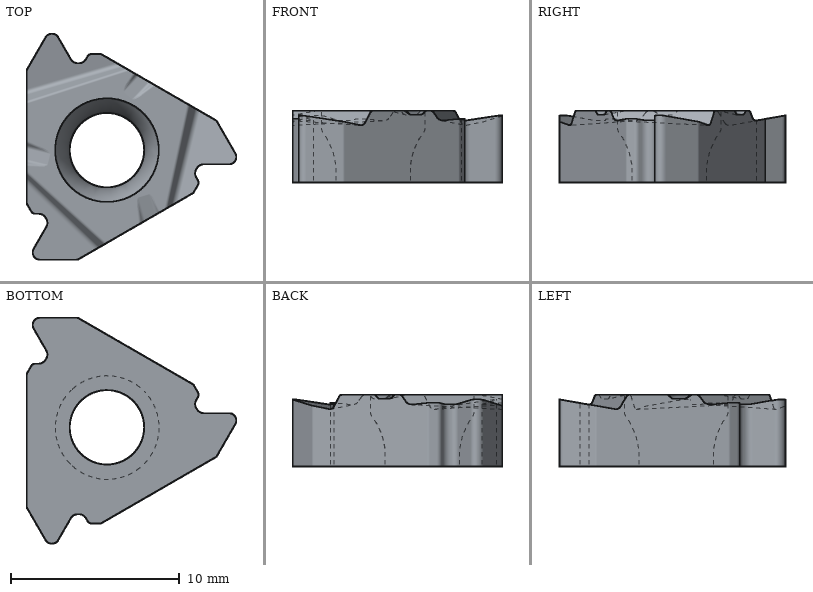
import cadquery as cq
import math

INSCRIBED_RADIUS = 9.525 / 2
THICKNESS = 4.27
CORNER_COUNT = 3
CORNER_STEP = 360 / CORNER_COUNT

FLANK_ANGLE = 60
LEADING_FLANK_DISTANCE = 6.5
TRAILING_FLANK_DISTANCE = 0.845
RELIEF_SIDE_DISTANCE = 3.78
TIP_HEIGHT = 6.905
RELIEF_HEIGHT = 5.16
CREST_HEIGHT = 5.71
TIP_RADIUS = 0.43
RELIEF_RADIUS = 0.46
CREST_RADIUS = 0.3
EDGE_RADIUS = 0.25

BORE_DIAMETER = 4.4
RECESS_DIAMETER = 6.15
RECESS_WALL_DEPTH = 1.0
SEAT_RADIUS = 3.8
SEAT_BLEND_RADIUS = 0.48

RAKE_ANGLE = 10
RAKE_HEIGHT_AT_AXIS = 2.78
CHIP_WALL_DIRECTION = 16.2
CHIP_WALL_DISTANCE = 4.59
CHIP_WALL_TO_RAKE_ANGLE = 110
CHIP_ROOT_RADIUS = 0.32
CHIP_TOP_RADIUS = 0.2

NOTCH_DIRECTION = -13.5
NOTCH_RISE_ANGLE = 10
NOTCH_FLOOR_WIDTH = 0.62
NOTCH_DEPTH = 0.24
NOTCH_CENTER_Y = -0.22
NOTCH_WALL_ANGLE = 45
NOTCH_ROOT_RADIUS = 0.25
NOTCH_TOP_RADIUS = 0.2

CUTTER_REACH = 10.0


def turned(point, corner):
    """Turn an XY point about the hole axis to the given corner."""
    angle = math.radians(corner * CORNER_STEP)
    x, y = point
    return (x * math.cos(angle) - y * math.sin(angle), x * math.sin(angle) + y * math.cos(angle))


def meeting_point(line_a, line_b):
    """Meeting point of two lines, each a normal angle and a distance from the hole axis."""
    angle_a, distance_a = line_a
    angle_b, distance_b = line_b
    a = math.radians(angle_a)
    b = math.radians(angle_b)
    spread = math.sin(b - a)
    x = (distance_a * math.sin(b) - distance_b * math.sin(a)) / spread
    y = (distance_b * math.cos(a) - distance_a * math.cos(b)) / spread
    return (x, y)


def corner_profile():
    """Sharp vertices of one corner, clockwise, each with its rounding radius."""
    leading = (90 + FLANK_ANGLE, LEADING_FLANK_DISTANCE)
    trailing = (90 - FLANK_ANGLE, TRAILING_FLANK_DISTANCE)
    relief_side = (90 + FLANK_ANGLE, RELIEF_SIDE_DISTANCE)
    tip = (90, TIP_HEIGHT)
    relief_floor = (90, RELIEF_HEIGHT)
    crest = (90, CREST_HEIGHT)
    side = (180, INSCRIBED_RADIUS)
    next_side = (180 - CORNER_STEP, INSCRIBED_RADIUS)
    return [
        (meeting_point(side, leading), EDGE_RADIUS),
        (meeting_point(leading, tip), TIP_RADIUS),
        (meeting_point(tip, trailing), TIP_RADIUS),
        (meeting_point(trailing, relief_floor), RELIEF_RADIUS),
        (meeting_point(relief_floor, relief_side), RELIEF_RADIUS),
        (meeting_point(relief_side, crest), CREST_RADIUS),
        (meeting_point(crest, next_side), EDGE_RADIUS),
    ]


def make_body():
    vertices = []
    for corner in range(CORNER_COUNT):
        for point, radius in corner_profile():
            vertices.append((turned(point, -corner), radius))
    body = cq.Workplane("XY").polyline([point for point, _ in vertices]).close().extrude(THICKNESS)
    for (x, y), radius in vertices:
        body = body.edges(cq.NearestToPointSelector((x, y, THICKNESS / 2))).fillet(radius)
    return body


def make_hole():
    """Bore, convex seat and cylindrical recess, turned about the Z axis."""
    bore = BORE_DIAMETER / 2
    recess = RECESS_DIAMETER / 2
    seat_center_r = bore + SEAT_RADIUS
    blend_center_r = recess - SEAT_BLEND_RADIUS
    center_spacing = SEAT_RADIUS + SEAT_BLEND_RADIUS
    blend_angle = math.acos((seat_center_r - blend_center_r) / center_spacing)
    blend_center_z = THICKNESS - RECESS_WALL_DEPTH
    seat_bottom = blend_center_z - center_spacing * math.sin(blend_angle)

    def on_seat(angle):
        r = seat_center_r - SEAT_RADIUS * math.cos(angle)
        return (r, seat_bottom + SEAT_RADIUS * math.sin(angle))

    blend_middle = (
        blend_center_r + SEAT_BLEND_RADIUS * math.cos(blend_angle / 2),
        blend_center_z - SEAT_BLEND_RADIUS * math.sin(blend_angle / 2),
    )
    return (
        cq.Workplane("XZ")
        .lineTo(bore, 0)
        .lineTo(bore, seat_bottom)
        .threePointArc(on_seat(blend_angle / 2), on_seat(blend_angle))
        .threePointArc(blend_middle, (recess, blend_center_z))
        .lineTo(recess, THICKNESS)
        .lineTo(0, THICKNESS)
        .close()
        .revolve(360, (0, 0), (0, 1))
    )


def chip_wall_point(distance):
    """XY point at a distance from the hole axis, square to the chip wall of the +Y corner."""
    direction = math.radians(CHIP_WALL_DIRECTION)
    return (-distance * math.sin(direction), distance * math.cos(direction))


def rake_height(point):
    return RAKE_HEIGHT_AT_AXIS + point[1] * math.tan(math.radians(RAKE_ANGLE))


def make_rake_cutter():
    """Cutter of the +Y corner: rake face as its floor, chip wall as its inner side."""
    direction = math.radians(CHIP_WALL_DIRECTION)
    rake = math.radians(RAKE_ANGLE)
    root_xy = chip_wall_point(CHIP_WALL_DISTANCE)
    root = (*root_xy, rake_height(root_xy))
    along = cq.Vector(math.cos(direction), math.sin(direction), math.sin(direction) * math.tan(rake))
    rake_normal = cq.Vector(0, -math.sin(rake), math.cos(rake))
    section = cq.Plane(root, rake_normal.cross(along), along)
    wall_lean = CUTTER_REACH / math.tan(math.radians(CHIP_WALL_TO_RAKE_ANGLE))
    return (
        cq.Workplane(section)
        .polyline([(0, 0), (CUTTER_REACH, 0), (CUTTER_REACH, CUTTER_REACH), (wall_lean, CUTTER_REACH)])
        .close()
        .extrude(CUTTER_REACH, both=True)
        .edges(cq.NearestToPointSelector(root))
        .fillet(CHIP_ROOT_RADIUS)
    )


def make_notch_cutter():
    """Cutter of the -X side: a round-rooted trapezoid whose floor rises towards the hole."""
    direction = math.radians(NOTCH_DIRECTION)
    rise = math.radians(NOTCH_RISE_ANGLE)
    along = cq.Vector(math.cos(direction), math.sin(direction), math.tan(rise))
    across = cq.Vector(-math.sin(direction), math.cos(direction), 0)
    origin = (-INSCRIBED_RADIUS, NOTCH_CENTER_Y, THICKNESS - NOTCH_DEPTH)
    section = cq.Plane(origin, across, along)
    wall = math.radians(NOTCH_WALL_ANGLE)
    root_half = NOTCH_FLOOR_WIDTH / 2 + NOTCH_ROOT_RADIUS * math.tan(wall / 2)
    top_half = root_half + CUTTER_REACH / math.tan(wall)
    cutter = (
        cq.Workplane(section)
        .polyline([(-root_half, 0), (root_half, 0), (top_half, CUTTER_REACH), (-top_half, CUTTER_REACH)])
        .close()
        .extrude(CUTTER_REACH, both=True)
    )
    for side in (-1, 1):
        root = section.toWorldCoords((side * root_half, 0, 0))
        cutter = cutter.edges(cq.NearestToPointSelector(root.toTuple())).fillet(NOTCH_ROOT_RADIUS)
    return cutter


def chip_wall_top():
    """XY point on the top edge of the +Y corner's chip wall."""
    root_xy = chip_wall_point(CHIP_WALL_DISTANCE)
    wall_slope = math.radians(180 - CHIP_WALL_TO_RAKE_ANGLE - RAKE_ANGLE)
    setback = (THICKNESS - rake_height(root_xy)) / math.tan(wall_slope)
    return chip_wall_point(CHIP_WALL_DISTANCE - setback)


def notch_inner_end():
    """XY point where the floor of the -X notch runs out at the top face."""
    run = NOTCH_DEPTH / math.tan(math.radians(NOTCH_RISE_ANGLE))
    direction = math.radians(NOTCH_DIRECTION)
    return (run * math.cos(direction) - INSCRIBED_RADIUS, run * math.sin(direction) + NOTCH_CENTER_Y)


def cut_at_corners(part, cutter):
    for corner in range(CORNER_COUNT):
        part = part.cut(cutter.rotate((0, 0, 0), (0, 0, 1), corner * CORNER_STEP))
    return part


def round_top_edges(part, point, radius):
    """Round the top edge nearest to the point, with its smooth continuation, at every corner."""
    for corner in range(CORNER_COUNT):
        x, y = turned(point, corner)
        part = part.edges(cq.NearestToPointSelector((x, y, THICKNESS))).fillet(radius)
    return part


result = cut_at_corners(make_body(), make_rake_cutter())
result = round_top_edges(result, chip_wall_top(), CHIP_TOP_RADIUS)
result = cut_at_corners(result, make_notch_cutter())
result = round_top_edges(result, notch_inner_end(), NOTCH_TOP_RADIUS)
result = result.cut(make_hole())